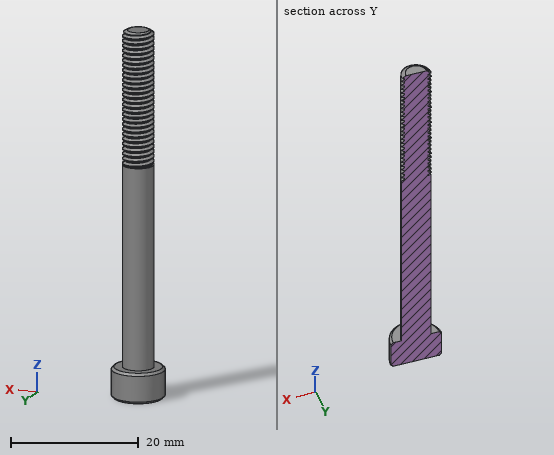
import cadquery as cq
import math


head_diameter = 8.5
head_height = 5.0
head_chamfer = 0.4

thread_diameter = 5.0
shank_length = 55.0
thread_length = 22.0
pitch = 0.8
total_height = head_height + shank_length
thread_start = total_height - thread_length
thread_radius = thread_diameter / 2

crest_flat = pitch / 8
root_flat = pitch / 8
flank_slope = math.tan(math.radians(30))
thread_depth = (pitch - crest_flat - root_flat) / (2 * flank_slope)
root_radius = thread_radius - thread_depth

tip_diameter = 3.45
tip_chamfer_slope = math.tan(math.radians(30))

crest_height_at_x = 0.15

ridge_overlap = 0.02

trim_clearance = 1.0


def make_head():
    """Plain cylindrical head with both rims chamfered."""
    head = cq.Workplane("XY").circle(head_diameter / 2).extrude(head_height)
    return head.edges().chamfer(head_chamfer)


def make_shank():
    """Unthreaded part of the shank, rising from the head to the thread."""
    plain_length = thread_start - head_height
    return cq.Workplane("XY").workplane(offset=head_height).circle(thread_radius).extrude(plain_length)


def make_ridge():
    """Right-hand helical ridge that runs past both ends of the thread."""
    ridge_start = thread_start + crest_height_at_x - pitch
    ridge_length = thread_length + 2 * pitch
    foot_radius = root_radius - ridge_overlap
    crest_half_width = crest_flat / 2
    foot_half_width = crest_half_width + (thread_radius - foot_radius) * flank_slope
    helix = cq.Wire.makeHelix(pitch, ridge_length, thread_radius, cq.Vector(0, 0, ridge_start))
    profile = (
        cq.Workplane("XZ")
        .moveTo(foot_radius, ridge_start - foot_half_width)
        .lineTo(thread_radius, ridge_start - crest_half_width)
        .lineTo(thread_radius, ridge_start + crest_half_width)
        .lineTo(foot_radius, ridge_start + foot_half_width)
        .close()
    )
    return profile.sweep(cq.Workplane(obj=helix), isFrenet=True)


def make_trim_body():
    """Body that cuts the thread square at its start and conical at its tip."""
    trim_radius = thread_radius + trim_clearance
    cone_drop = (trim_radius - tip_diameter / 2) * tip_chamfer_slope
    return (
        cq.Workplane("XZ")
        .moveTo(0, thread_start)
        .lineTo(trim_radius, thread_start)
        .lineTo(trim_radius, total_height - cone_drop)
        .lineTo(tip_diameter / 2, total_height)
        .lineTo(0, total_height)
        .close()
        .revolve(360, (0, 0, 0), (0, 1, 0))
    )


def make_threaded_end():
    """Core and helical ridge, trimmed to the thread length and tip chamfer."""
    core = cq.Workplane("XY").workplane(offset=thread_start).circle(root_radius).extrude(thread_length)
    return core.union(make_ridge()).intersect(make_trim_body())


result = make_head().union(make_shank()).union(make_threaded_end())